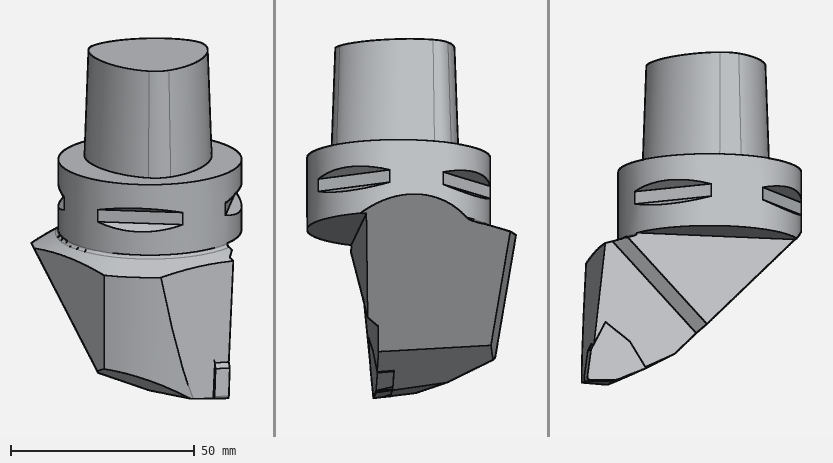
import cadquery as cq
import math


shank_length = 30.0
shank_base_radius = 17.4
shank_end_radius = 16.3
lobe_height = 1.3
lobe_half_angle = 20

flange_radius = 25.0
flange_height = 20.0
groove_floor_distance = 22.1
groove_floor_height = 3.4
groove_flank_run = 1.6
groove_z = -10.1
groove_count = 4

head_radius = 34.9
neck_fillet = 0.8
shoulder_drop = 2.7
total_depth = 60.0
front_flat_y = -30.0
back_point = (-25.0, 0, -15.0)
back_normal = (-1, 0, -0.98)
back_chamfer_width = 2.5
back_chamfer_run = 1.7

side_point = (31.3, 4.3, -22.5)
side_normal = (1, -0.093, 0.09)
lower_back_point = (0, 0, -46.2)
lower_back_normal = (-0.5, -0.042, -1)
end_point = (25.1, -16.9, -57.3)
end_normal = (-0.04, -0.14, -1)
heel_point = (14.8, front_flat_y, -51.4)
heel_normal = (0.42, -0.8, -1)

rake_normal = (0.11, 1, -0.11)
gullet_y = 13.1
rake_y = 10.3
step_point = (34.2, 0, -22.7)
step_normal = (1, 1.2, -1)

insert_edge = 8.55
insert_thickness = 4.6
insert_corner_angle = 80
insert_direction = 136.5
insert_nose_radius = 0.8
tip_x = 35.1

cut_size = 270


def half_space(point, normal):
    """Block that fills the side of a plane its normal points to."""
    plane = cq.Plane(origin=point, normal=normal)
    return cq.Workplane(plane).rect(cut_size, cut_size).extrude(cut_size)


def lobed_outline(radius, z):
    """Closed wire of constant width with one lobe towards +Y."""

    def point(degrees):
        angle = math.radians(degrees)
        reach = radius + lobe_height * math.cos(3 * angle)
        slope = -3 * lobe_height * math.sin(3 * angle)
        x = reach * math.sin(angle) + slope * math.cos(angle)
        y = reach * math.cos(angle) - slope * math.sin(angle)
        return cq.Vector(x, y, z)

    edges = []
    for lobe in (0, 120, 240):
        start = lobe - lobe_half_angle
        middle = lobe + lobe_half_angle
        end = start + 120
        for first, last in ((start, middle), (middle, end)):
            steps = 8
            points = [point(first + (last - first) * i / steps) for i in range(steps + 1)]
            edges.append(cq.Edge.makeSpline(points))
    return cq.Wire.assembleEdges(edges)


def make_shank():
    base = lobed_outline(shank_base_radius, 0)
    end = lobed_outline(shank_end_radius, shank_length)
    return cq.Workplane(cq.Solid.makeLoft([base, end], True))


def make_groove(angle):
    """Straight groove across the flange rim, with sloping flanks."""
    floor = groove_floor_height / 2
    mouth = floor + groove_flank_run
    profile = [
        (groove_floor_distance, groove_z - floor),
        (flange_radius, groove_z - mouth),
        (flange_radius, groove_z + mouth),
        (groove_floor_distance, groove_z + floor),
    ]
    groove = cq.Workplane("XZ").polyline(profile).close().extrude(flange_radius, both=True)
    return groove.rotate((0, 0, 0), (0, 0, 1), angle)


def make_flange():
    flange = cq.Workplane("XY").circle(flange_radius).extrude(-flange_height)
    for i in range(groove_count):
        flange = flange.cut(make_groove(45 + i * 360 / groove_count))
    return flange.cut(half_space(back_point, back_normal))


def make_head_blank():
    """Round blank with a filleted neck and a conical shoulder."""
    neck_z = -flange_height
    shoulder_z = neck_z - neck_fillet
    arc_offset = neck_fillet * (1 - math.sqrt(0.5))
    return (
        cq.Workplane("XZ")
        .moveTo(0, neck_z)
        .lineTo(flange_radius, neck_z)
        .threePointArc(
            (flange_radius + arc_offset, shoulder_z + arc_offset),
            (flange_radius + neck_fillet, shoulder_z),
        )
        .lineTo(head_radius, shoulder_z - shoulder_drop)
        .lineTo(head_radius, -total_depth)
        .lineTo(0, -total_depth)
        .close()
        .revolve(360, (0, 0, 0), (0, 1, 0))
    )


def make_head():
    chamfer_y = front_flat_y + back_chamfer_width
    chamfer_point = (back_point[0], chamfer_y, back_point[2])
    chamfer_normal = (back_normal[0], -back_chamfer_run, back_normal[2])
    faces = [
        ((0, front_flat_y, 0), (0, -1, 0)),
        (back_point, back_normal),
        (chamfer_point, chamfer_normal),
        (side_point, side_normal),
        (lower_back_point, lower_back_normal),
        (end_point, end_normal),
        (heel_point, heel_normal),
        ((0, gullet_y, 0), rake_normal),
    ]
    head = make_head_blank()
    for point, normal in faces:
        head = head.cut(half_space(point, normal))
    above_rake = half_space((0, rake_y, 0), rake_normal)
    beyond_step = half_space(step_point, step_normal)
    return head.cut(above_rake.intersect(beyond_step))


def make_insert():
    """Trigon plate let in flush with the rake face, its tip the lowest point."""
    tip_y = rake_y - (rake_normal[0] * tip_x - rake_normal[2] * total_depth)
    plane = cq.Plane(origin=(tip_x, tip_y, -total_depth), xDir=(-1, rake_normal[0], 0), normal=rake_normal)
    half_corner = math.radians(insert_corner_angle / 2)
    sector = math.radians(60)
    corner_radius = insert_edge * math.sin(half_corner + sector) / math.sin(sector)
    obtuse_radius = insert_edge * math.sin(half_corner) / math.sin(sector)
    to_centre = math.radians(180 - insert_direction)
    centre_x = corner_radius * math.cos(to_centre)
    centre_y = corner_radius * math.sin(to_centre)
    outline = []
    for i in range(6):
        radius = obtuse_radius if i % 2 else corner_radius
        angle = to_centre + math.pi + i * sector
        outline.append((centre_x + radius * math.cos(angle), centre_y + radius * math.sin(angle)))
    plate = cq.Workplane(plane).polyline(outline).close().extrude(-insert_thickness)
    nose_edge = cq.NearestToPointSelector(plane.toWorldCoords((0, 0, -insert_thickness / 2)).toTuple())
    return plate.edges(nose_edge).fillet(insert_nose_radius)


insert = make_insert()
holder = make_shank().union(make_flange()).union(make_head()).cut(insert)

result = cq.Compound.makeCompound([holder.val(), insert.val()])